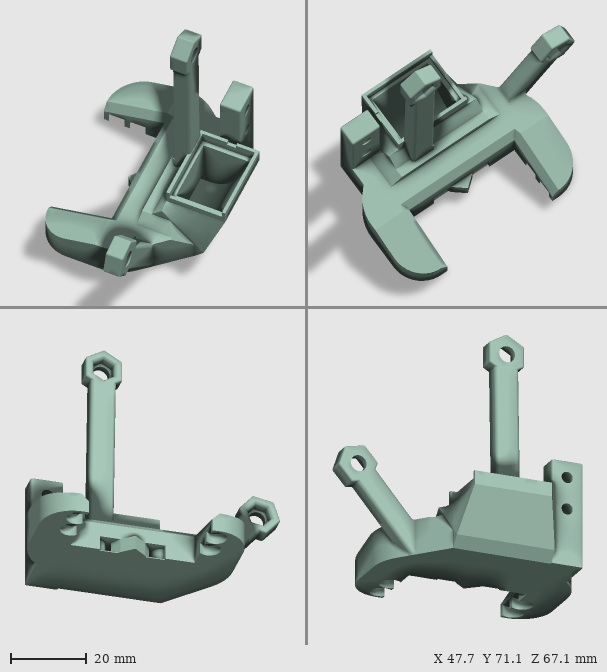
import cadquery as cq
import math

BASE_WIDTH = 56.0
BASE_HEIGHT = 10.0
BASE_BACK_X = 40.0
BACK_HALF_WIDTH = 14.1
OPENING_WIDTH = 34.0
OPENING_BACK_X = 17.5
OPENING_CHAMFER = 2.0
ARM_TIP_HEIGHT = 5.5
ARM_TIP_RADIUS = 9.0
SHOULDER_START_X = 19.3
SHOULDER_RADIUS = 13.0
SHOULDER_ANGLE = math.radians(41.3)
BACK_BEVEL_SUM = 45.1

MAGNET_DIAMETER = 6.0
MAGNET_DEPTH = 3.0
MAGNET_XS = (3.7, 9.9)
MAGNET_Y = 19.0

DECK_FRONT_X = 25.0
DECK_HEIGHT = 12.0
DECK_HALF_WIDTH = 17.6
RAMP_FRONT_X = 27.7

RIM_FRONT_X = 30.65
RIM_BACK_X = 47.72
RIM_HALF_WIDTH = 11.15
RIM_BOTTOM_Z = 15.9
RIM_TOP_Z = 19.8
RIM_WALL = 0.95
SIDE_WALL_TOP_Z = 17.8
LEDGE_Z = 16.6
HOPPER_ROOT_SUM = 45.65
CHIN_Z = 2.9
NOTCH_CENTER_X = 40.0
NOTCH_WIDTH = 2.6
NOTCH_DEPTH = 1.0

CHANNEL_HALF_WIDTH = 8.95
CHANNEL_FLOOR_Z = 1.1
CHANNEL_LIP_Z = 0.2
CHANNEL_TOP_Z = 4.0
CHANNEL_LIP_X = 18.2
LIP_RAMP_LENGTH = 1.3
MOUTH_FRONT_X = 32.5
MOUTH_BACK_X = 45.9
BEND_START_X = 34.0
BEND_RADIUS = 7.85
SPLITTER_TIP_X = 14.7
SPLITTER_HALF_WIDTH = 3.4
SPLITTER_MID_X = 20.0
SPLITTER_MID_HALF_WIDTH = 5.2
SPLITTER_END_X = 27.0
RIB_X = 22.0
RIB_RADIUS = 2.6

BRACKET_X = 34.75
BRACKET_LENGTH = 6.0
BRACKET_Y = 14.15
BRACKET_WIDTH = 9.0
BRACKET_HEIGHT = 29.75
BRACKET_ROUND = 0.5
BRACKET_HOLE_DIAMETER = 3.2
BRACKET_HOLE_Y = 18.55
BRACKET_HOLE_ZS = (16.05, 25.05)
TAB_FRONT_X = 28.0

ROD_FRONT_X = 26.5
ROD_THICKNESS = 5.0
ROD_WIDTH = 6.9
ROD_ROUND = 1.0
ROOT_FILLET = 1.0
HEAD_FLATS = 10.0
HEAD_ROUND = 0.5
NUT_FLATS = 5.6
NUT_DEPTH = 3.0
NUT_MOUTH_ROUND = 1.0
MOUTH_PICK_DEPTH = 0.1
ROD_HOLE_DIAMETER = 4.5

TALL_HEAD_Y = 5.25
TALL_HEAD_Z = 61.44
TALL_ROD_LENGTH = 50.0
TALL_SHAFT_TILT = 0.85
TALL_FOOT_Y = 2.7
SHORT_HEAD_Y = -37.54
SHORT_HEAD_Z = 23.55
SHORT_ROD_LENGTH = 34.0
SHORT_SHAFT_TILT = 40.2
SHORT_HEAD_TILT = 41.4
ROOT_STRIP_BACK_Y = -21.5


def box(x0, x1, y0, y1, z0, z1):
    return cq.Workplane("XY").box(x1 - x0, y1 - y0, z1 - z0, centered=False).translate((x0, y0, z0))


def profile_xz(points, half_width):
    """Prism of an XZ outline, centred on the XZ plane."""
    return cq.Workplane("XZ").polyline(points).close().extrude(half_width, both=True)


def base_outline(height):
    """Base with its arms, of one height all over and without the opening."""
    side = BASE_WIDTH / 2
    tip = ARM_TIP_RADIUS
    diagonal = tip * (1 - math.sqrt(0.5))

    def on_shoulder(angle):
        drop = SHOULDER_RADIUS * (1 - math.cos(angle))
        return (SHOULDER_START_X + SHOULDER_RADIUS * math.sin(angle), side - drop)

    half = (
        cq.Workplane("XY")
        .lineTo(0, side - tip)
        .threePointArc((diagonal, side - diagonal), (tip, side))
        .lineTo(SHOULDER_START_X, side)
        .threePointArc(on_shoulder(SHOULDER_ANGLE / 2), on_shoulder(SHOULDER_ANGLE))
        .lineTo(BASE_BACK_X, BACK_HALF_WIDTH)
        .lineTo(BASE_BACK_X, 0)
        .close()
        .extrude(height)
    )
    return half.union(half.mirror("XZ"))


def make_opening():
    """Opening between the arms, widening at 45 degrees up to the top faces."""
    half = OPENING_WIDTH / 2
    size = OPENING_CHAMFER
    end_x = OPENING_BACK_X + 2 * size
    end_height = ARM_TIP_HEIGHT + (BASE_HEIGHT - ARM_TIP_HEIGHT) * end_x / OPENING_BACK_X

    def section(x, top_z):
        right_side = [(half, 0), (half, top_z - size), (half + size, top_z)]
        left_side = [(-y, z) for y, z in reversed(right_side)]
        corners = [cq.Vector(x, y, z) for y, z in right_side + left_side]
        return cq.Wire.makePolygon(corners, close=True)

    loft = cq.Solid.makeLoft([section(0, ARM_TIP_HEIGHT), section(end_x, end_height)], True)
    back_profile = [
        (0, 0),
        (OPENING_BACK_X, 0),
        (OPENING_BACK_X, BASE_HEIGHT - size),
        (OPENING_BACK_X + size, BASE_HEIGHT),
        (0, BASE_HEIGHT),
    ]
    return cq.Workplane(loft).intersect(profile_xz(back_profile, half + size))


def make_base():
    side_profile = [
        (0, 0),
        (BASE_BACK_X, 0),
        (BASE_BACK_X, BACK_BEVEL_SUM - BASE_BACK_X),
        (BACK_BEVEL_SUM - BASE_HEIGHT, BASE_HEIGHT),
        (OPENING_BACK_X, BASE_HEIGHT),
        (0, ARM_TIP_HEIGHT),
    ]
    base = base_outline(BASE_HEIGHT).intersect(profile_xz(side_profile, BASE_WIDTH))
    base = base.cut(make_opening())
    seats = [(x, y) for x in MAGNET_XS for y in (-MAGNET_Y, MAGNET_Y)]
    return base.cut(
        cq.Workplane("XY").pushPoints(seats).circle(MAGNET_DIAMETER / 2).extrude(MAGNET_DEPTH)
    )


def make_deck():
    """Trapezoidal deck on the base, and the wedge that carries the hopper."""
    trapezoid = [
        (-DECK_HALF_WIDTH, BASE_HEIGHT),
        (DECK_HALF_WIDTH, BASE_HEIGHT),
        (BACK_HALF_WIDTH, DECK_HEIGHT),
        (-BACK_HALF_WIDTH, DECK_HEIGHT),
    ]
    deck = cq.Workplane("YZ", origin=(DECK_FRONT_X, 0, 0)).polyline(trapezoid).close()
    deck = deck.extrude(BASE_BACK_X - DECK_FRONT_X)
    under_bevel = [
        (DECK_FRONT_X, BASE_HEIGHT),
        (BACK_BEVEL_SUM - BASE_HEIGHT, BASE_HEIGHT),
        (BACK_BEVEL_SUM - DECK_HEIGHT, DECK_HEIGHT),
        (DECK_FRONT_X, DECK_HEIGHT),
    ]
    deck = deck.intersect(profile_xz(under_bevel, DECK_HALF_WIDTH))
    wedge = [
        (DECK_FRONT_X, 0),
        (BASE_BACK_X, 0),
        (HOPPER_ROOT_SUM - CHIN_Z, CHIN_Z),
        (RIM_FRONT_X, HOPPER_ROOT_SUM - RIM_FRONT_X),
        (RAMP_FRONT_X, DECK_HEIGHT),
        (DECK_FRONT_X, DECK_HEIGHT),
    ]
    return deck.union(profile_xz(wedge, BACK_HALF_WIDTH))


def rectangle_wire(front_x, front_z, back_x, back_z, half_width):
    corners = [
        (front_x, -half_width, front_z),
        (back_x, -half_width, back_z),
        (back_x, half_width, back_z),
        (front_x, half_width, front_z),
    ]
    return cq.Wire.makePolygon([cq.Vector(*corner) for corner in corners], close=True)


def make_hopper():
    """Tapered hopper between the 45 degree root and the rim, with the rim itself."""
    root = rectangle_wire(
        RIM_FRONT_X, HOPPER_ROOT_SUM - RIM_FRONT_X, HOPPER_ROOT_SUM - CHIN_Z, CHIN_Z, BACK_HALF_WIDTH
    )
    mouth = rectangle_wire(RIM_FRONT_X, RIM_BOTTOM_Z, RIM_BACK_X, RIM_BOTTOM_Z, RIM_HALF_WIDTH)
    funnel = cq.Workplane(cq.Solid.makeLoft([root, mouth], True))
    rim = box(RIM_FRONT_X, RIM_BACK_X, -RIM_HALF_WIDTH, RIM_HALF_WIDTH, RIM_BOTTOM_Z, RIM_TOP_Z)
    return funnel.union(rim)


def rim_recess():
    """Seat inside the rim, the lowered -Y wall and the notch in the +Y wall."""
    seat = box(
        RIM_FRONT_X + RIM_WALL, RIM_BACK_X - RIM_WALL,
        -RIM_HALF_WIDTH + RIM_WALL, RIM_HALF_WIDTH - RIM_WALL,
        LEDGE_Z, RIM_TOP_Z,
    )
    side_gap = box(
        RIM_FRONT_X + RIM_WALL, RIM_BACK_X - RIM_WALL,
        -RIM_HALF_WIDTH, 0,
        SIDE_WALL_TOP_Z, RIM_TOP_Z,
    )
    notch = box(
        NOTCH_CENTER_X - NOTCH_WIDTH / 2, NOTCH_CENTER_X + NOTCH_WIDTH / 2,
        0, RIM_HALF_WIDTH,
        RIM_TOP_Z - NOTCH_DEPTH, RIM_TOP_Z,
    )
    return seat.union(side_gap).union(notch)


def air_channel():
    """Passage from the hopper mouth, round a bend and forward to the opening."""
    bend_center_z = CHANNEL_FLOOR_Z + BEND_RADIUS
    mouth_run = MOUTH_BACK_X - BEND_START_X
    mouth_rise = LEDGE_Z - bend_center_z
    mouth_distance = math.hypot(mouth_run, mouth_rise)
    bend_angle = math.atan2(mouth_rise, mouth_run) + math.asin(BEND_RADIUS / mouth_distance)

    def on_bend(angle):
        return (
            BEND_START_X + BEND_RADIUS * math.sin(angle),
            bend_center_z - BEND_RADIUS * math.cos(angle),
        )

    return (
        cq.Workplane("XZ")
        .moveTo(OPENING_BACK_X, 0)
        .lineTo(CHANNEL_LIP_X, 0)
        .lineTo(CHANNEL_LIP_X, CHANNEL_LIP_Z)
        .lineTo(CHANNEL_LIP_X + LIP_RAMP_LENGTH, CHANNEL_FLOOR_Z)
        .lineTo(BEND_START_X, CHANNEL_FLOOR_Z)
        .threePointArc(on_bend(bend_angle / 2), on_bend(bend_angle))
        .lineTo(MOUTH_BACK_X, LEDGE_Z)
        .lineTo(MOUTH_FRONT_X, LEDGE_Z)
        .lineTo(MOUTH_FRONT_X, CHANNEL_TOP_Z)
        .lineTo(OPENING_BACK_X, CHANNEL_TOP_Z)
        .close()
        .extrude(CHANNEL_HALF_WIDTH, both=True)
    )


def make_splitter():
    """Pointed divider in the middle of the channel."""
    outline = [
        (SPLITTER_TIP_X, 0),
        (OPENING_BACK_X, SPLITTER_HALF_WIDTH),
        (SPLITTER_MID_X, SPLITTER_MID_HALF_WIDTH),
        (SPLITTER_END_X, 0),
        (SPLITTER_MID_X, -SPLITTER_MID_HALF_WIDTH),
        (OPENING_BACK_X, -SPLITTER_HALF_WIDTH),
    ]
    return cq.Workplane("XY").polyline(outline).close().extrude(CHANNEL_TOP_Z)


def make_channel_ribs():
    """Half-round ribs on the two side walls of the channel."""
    places = [(RIB_X, CHANNEL_HALF_WIDTH), (RIB_X, -CHANNEL_HALF_WIDTH)]
    return cq.Workplane("XY").pushPoints(places).circle(RIB_RADIUS).extrude(CHANNEL_TOP_Z)


def make_bracket():
    end_x = BRACKET_X + BRACKET_LENGTH
    end_y = BRACKET_Y + BRACKET_WIDTH
    post = box(BRACKET_X, end_x, BRACKET_Y, end_y, 0, BRACKET_HEIGHT)
    post = post.edges("|Z or >Z").fillet(BRACKET_ROUND)
    tab = box(TAB_FRONT_X, BRACKET_X + BRACKET_ROUND, BRACKET_Y, end_y, 0, BASE_HEIGHT)
    holes = (
        cq.Workplane("YZ", origin=(BRACKET_X, 0, 0))
        .pushPoints([(BRACKET_HOLE_Y, z) for z in BRACKET_HOLE_ZS])
        .circle(BRACKET_HOLE_DIAMETER / 2)
        .extrude(BRACKET_LENGTH)
    )
    return post.union(tab).cut(holes)


def hexagon(flats, depth):
    """Hexagonal prism along X from x = 0, with corners up and down."""
    across_corners = flats / math.cos(math.radians(30))
    return cq.Workplane("YZ").transformed(rotate=(0, 0, 90)).polygon(6, across_corners).extrude(depth)


def rod_shaft(length):
    """Rounded bar hanging down from the head centre at the origin."""
    half = ROD_WIDTH / 2
    return box(0, ROD_THICKNESS, -half, half, -length, 0).edges("|Z").fillet(ROD_ROUND)


def rod_head():
    return hexagon(HEAD_FLATS, ROD_THICKNESS).edges().fillet(HEAD_ROUND)


def turn(part, tilt):
    """Lean a part about the X axis; a positive tilt takes its top towards -Y."""
    return part.rotate((0, 0, 0), (1, 0, 0), tilt)


def make_rod(length, shaft_tilt, head_tilt, head_y, head_z):
    """Shaft and head, with a round-mouthed nut pocket and a screw hole behind it."""
    nut = turn(hexagon(NUT_FLATS, NUT_DEPTH), head_tilt)
    screw = cq.Workplane("YZ").circle(ROD_HOLE_DIAMETER / 2).extrude(ROD_THICKNESS)
    rod = turn(rod_head(), head_tilt).union(turn(rod_shaft(length), shaft_tilt)).cut(nut)
    reach = NUT_FLATS / 2 + NUT_MOUTH_ROUND / 2
    mouth = cq.selectors.BoxSelector((-MOUTH_PICK_DEPTH, -reach, -reach), (MOUTH_PICK_DEPTH, reach, reach))
    rod = rod.edges(mouth).fillet(NUT_MOUTH_ROUND).cut(screw)
    return rod.translate((ROD_FRONT_X, head_y, head_z))


def root_strip():
    """Concave fillet strip along the -X side of the short rod, on top of the base."""
    strip_x = ROD_FRONT_X - ROOT_FILLET
    strip_top = BASE_HEIGHT + ROOT_FILLET
    strip = box(strip_x, ROD_FRONT_X, -BASE_WIDTH / 2, ROOT_STRIP_BACK_Y, BASE_HEIGHT, strip_top)
    hollow = (
        cq.Workplane("XZ")
        .center(strip_x, strip_top)
        .circle(ROOT_FILLET)
        .extrude(BASE_WIDTH)
    )
    return strip.cut(hollow).intersect(base_outline(strip_top))


def add_short_rod(body):
    rod = make_rod(SHORT_ROD_LENGTH, SHORT_SHAFT_TILT, SHORT_HEAD_TILT, SHORT_HEAD_Y, SHORT_HEAD_Z)
    rod = rod.intersect(box(0, BASE_BACK_X, -BASE_WIDTH, 0, 0, SHORT_HEAD_Z + HEAD_FLATS))
    body = body.union(rod)
    middle_x = ROD_FRONT_X + ROD_THICKNESS / 2
    top_edge = cq.NearestToPointSelector((middle_x, ROOT_STRIP_BACK_Y, BASE_HEIGHT))
    back_edge = cq.NearestToPointSelector(
        (ROD_FRONT_X + ROD_THICKNESS, ROOT_STRIP_BACK_Y, BASE_HEIGHT / 2)
    )
    body = body.edges(top_edge).add(body.edges(back_edge)).fillet(ROOT_FILLET)
    return body.union(root_strip())


def add_tall_rod(body):
    rod = make_rod(TALL_ROD_LENGTH, TALL_SHAFT_TILT, 0, TALL_HEAD_Y, TALL_HEAD_Z)
    foot = box(
        ROD_FRONT_X, RIM_FRONT_X,
        TALL_FOOT_Y, TALL_FOOT_Y + ROD_WIDTH / 2,
        DECK_HEIGHT, HOPPER_ROOT_SUM - RIM_FRONT_X,
    )
    return body.union(rod).union(foot)


body = make_base().union(make_deck())
body = add_short_rod(body)
body = add_tall_rod(body.union(make_hopper()).union(make_bracket()))
body = body.cut(rim_recess()).cut(air_channel())
result = body.union(make_splitter()).union(make_channel_ribs())